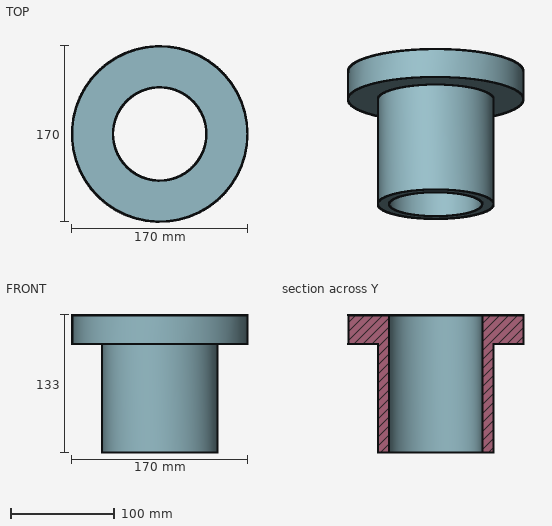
import cadquery as cq

flange_diameter = 170.0
flange_thickness = 28.0
sleeve_diameter = 112.2
bore_diameter = 90.1
total_height = 133.0

sleeve = cq.Workplane("XY").circle(sleeve_diameter / 2).extrude(total_height)

flange = (
    cq.Workplane("XY")
    .workplane(offset=total_height - flange_thickness)
    .circle(flange_diameter / 2)
    .extrude(flange_thickness)
)

bore = cq.Workplane("XY").circle(bore_diameter / 2).extrude(total_height)

result = sleeve.union(flange).cut(bore)